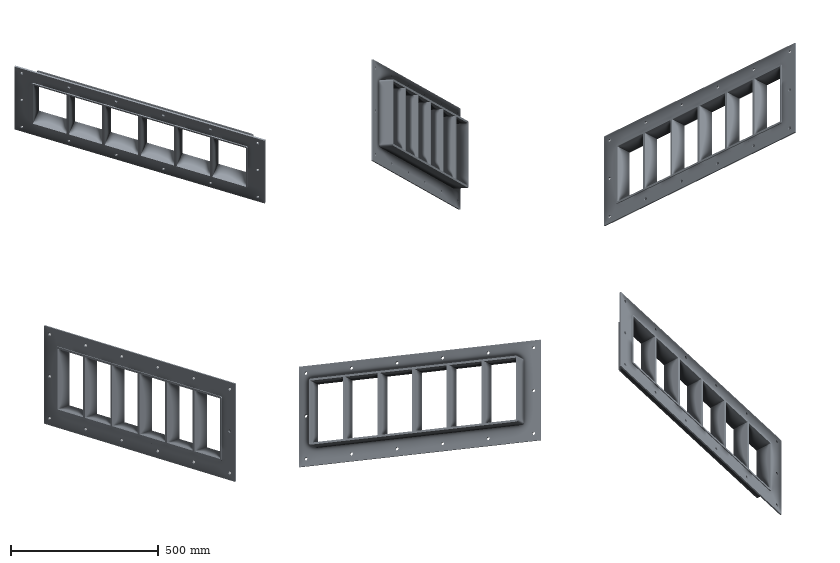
import cadquery as cq

plate_width = 905.0
plate_height = 350.0
plate_thickness = 5.0

total_depth = 60.0
front_lip = 4.0
side_margin = 61.0
top_margin = 60.0
frame_width = plate_width - 2 * side_margin
frame_height = plate_height - 2 * top_margin
corner_radius = 7.0

window_count = 6
side_wall = 6.0
top_wall = 7.0
divider = 9.0
window_width = (frame_width - 2 * side_wall - (window_count - 1) * divider) / window_count
window_height = frame_height - 2 * top_wall
window_pitch = window_width + divider

hole_diameter = 11.0
hole_inset = 25.0
hole_columns = 6
hole_rows = 3
hole_span_x = plate_width - 2 * hole_inset
hole_span_z = plate_height - 2 * hole_inset


def section_plane(y):
    """XZ plane at depth y; a negative extrusion runs toward +Y."""
    return cq.Workplane("XZ", origin=(0, y, 0))


def bolt_positions():
    """Grid points along the four edges of the flange."""
    points = []
    for column in range(hole_columns):
        for row in range(hole_rows):
            on_side = column in (0, hole_columns - 1)
            on_top_or_bottom = row in (0, hole_rows - 1)
            if on_side or on_top_or_bottom:
                x = -hole_span_x / 2 + column * hole_span_x / (hole_columns - 1)
                z = -hole_span_z / 2 + row * hole_span_z / (hole_rows - 1)
                points.append((x, z))
    return points


plate = (
    section_plane(front_lip)
    .rect(plate_width, plate_height)
    .extrude(-plate_thickness)
)
bolt_holes = (
    section_plane(front_lip)
    .pushPoints(bolt_positions())
    .circle(hole_diameter / 2)
    .extrude(-plate_thickness)
)
frame = (
    section_plane(0)
    .rect(frame_width, frame_height)
    .extrude(-total_depth)
    .edges("|Y")
    .fillet(corner_radius)
)
windows = (
    section_plane(0)
    .rarray(window_pitch, 9, window_count, 1)
    .rect(window_width, window_height)
    .extrude(-total_depth)
)

result = plate.cut(bolt_holes).union(frame).cut(windows)